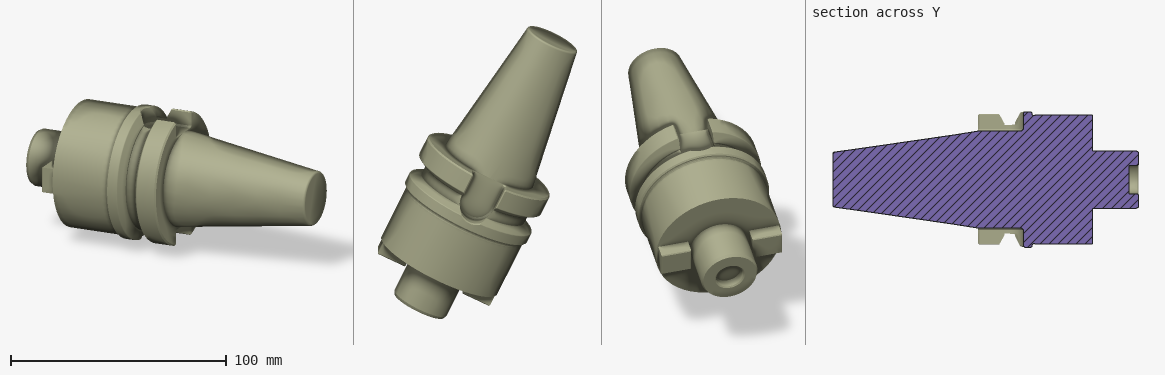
import cadquery as cq
import math

LENGTH = 141.9
BODY_START = 21.4
BODY_END = 48.0
COLLAR_START = 49.4
GROOVE_START = 54.8
GROOVE_FLOOR_START = 57.3
GROOVE_FLOOR_END = 62.2
FLANGE_END = 74.5
GAUGE_GAP = 2.0
GAUGE_PLANE = FLANGE_END + GAUGE_GAP

PILOT_RADIUS = 27.0 / 2
BODY_RADIUS = 60.0 / 2
NECK_RADIUS = 59.7 / 2
FLANGE_RADIUS = 63.0 / 2
GAUGE_RADIUS = 44.5 / 2

GROOVE_RADIUS = 52.8 / 2
GROOVE_FLANK = GROOVE_FLOOR_START - GROOVE_START
GROOVE_END = GROOVE_FLOOR_END + GROOVE_FLANK
GROOVE_FLANK_RADIUS = FLANGE_RADIUS - GROOVE_FLANK / math.tan(math.radians(30))

TAPER_SLOPE = 7 / 24 / 2
TAPER_START_RADIUS = GAUGE_RADIUS + GAUGE_GAP * TAPER_SLOPE
TAPER_END_RADIUS = GAUGE_RADIUS - (LENGTH - GAUGE_PLANE) * TAPER_SLOPE

PILOT_CHAMFER = 1.4
PILOT_CHAMFER_HEIGHT = 0.7
NECK_BEVEL = 0.4
NECK_ROOT_BEVEL = 0.4
COLLAR_CHAMFER = 0.5
FLANGE_CHAMFER = 0.7
GROOVE_LIP_FILLET = 0.7
TAPER_TIP_FILLET = 1.0

HOLE_RADIUS = 13.0 / 2
HOLE_DEPTH = 4.5
HOLE_CHAMFER = 0.5

KEY_LENGTH = 6.2
KEY_WIDTH = 12.0
KEY_INNER = 14.6
KEY_OUTER = 28.8
KEY_CHAMFER = 0.4

SLOT_WIDTH = 16.2
SLOT_FLOOR = 22.5
SLOT_CENTER = 61.6
SLOT_FLOOR_CHAMFER = 0.9
SLOT_RIM_CHAMFER = 0.5

TOLERANCE = 0.01


def revolved(outline):
    """Solid swept by turning an (x, radius) outline around the X axis."""
    return cq.Workplane("XY").polyline(outline).close().revolve(360, (0, 0, 0), (1, 0, 0))


def circle_at(x):
    """Selector for the circular edges that lie at station x."""
    reach = 2 * FLANGE_RADIUS
    return cq.selectors.BoxSelector(
        (x - TOLERANCE, -reach, -reach),
        (x + TOLERANCE, reach, reach),
        boundingbox=True,
    )


def turned_blank():
    """Body of revolution about X: pilot, body, grooved flange and taper."""
    outline = [
        (0, 0),
        (0, PILOT_RADIUS - PILOT_CHAMFER_HEIGHT),
        (PILOT_CHAMFER, PILOT_RADIUS),
        (BODY_START, PILOT_RADIUS),
        (BODY_START, BODY_RADIUS),
        (BODY_END, BODY_RADIUS),
        (BODY_END + NECK_BEVEL, NECK_RADIUS),
        (COLLAR_START - NECK_ROOT_BEVEL, NECK_RADIUS),
        (COLLAR_START, NECK_RADIUS + NECK_ROOT_BEVEL),
        (COLLAR_START, FLANGE_RADIUS - COLLAR_CHAMFER),
        (COLLAR_START + COLLAR_CHAMFER, FLANGE_RADIUS),
        (GROOVE_START, FLANGE_RADIUS),
        (GROOVE_FLOOR_START, GROOVE_FLANK_RADIUS),
        (GROOVE_FLOOR_START, GROOVE_RADIUS),
        (GROOVE_FLOOR_END, GROOVE_RADIUS),
        (GROOVE_FLOOR_END, GROOVE_FLANK_RADIUS),
        (GROOVE_END, FLANGE_RADIUS),
        (FLANGE_END - FLANGE_CHAMFER, FLANGE_RADIUS),
        (FLANGE_END, FLANGE_RADIUS - FLANGE_CHAMFER),
        (FLANGE_END, TAPER_START_RADIUS),
        (LENGTH, TAPER_END_RADIUS),
        (LENGTH, 0),
    ]
    blank = revolved(outline)
    for lip in (GROOVE_START, GROOVE_END):
        blank = blank.edges(circle_at(lip)).fillet(GROOVE_LIP_FILLET)
    return blank.faces(">X").edges().fillet(TAPER_TIP_FILLET)


def pilot_hole():
    """Blind hole with a chamfered mouth, opening on the pilot tip."""
    outline = [
        (0, 0),
        (0, HOLE_RADIUS + HOLE_CHAMFER),
        (HOLE_CHAMFER, HOLE_RADIUS),
        (HOLE_DEPTH, HOLE_RADIUS),
        (HOLE_DEPTH, 0),
    ]
    return revolved(outline)


def drive_key():
    """Rectangular key on the +Y side, chamfered around its front face."""
    return (
        cq.Workplane("XY")
        .box(KEY_LENGTH, KEY_OUTER - KEY_INNER, KEY_WIDTH)
        .translate((BODY_START - KEY_LENGTH / 2, (KEY_INNER + KEY_OUTER) / 2, 0))
        .faces("<X")
        .edges()
        .chamfer(KEY_CHAMFER)
    )


def drive_slot():
    """Round-ended slot on the +Z side, flared where it opens toward the taper."""
    half = SLOT_WIDTH / 2
    flared = half + FLANGE_CHAMFER
    return (
        cq.Workplane("XY")
        .workplane(offset=SLOT_FLOOR)
        .moveTo(FLANGE_END, flared)
        .lineTo(FLANGE_END - FLANGE_CHAMFER, half)
        .lineTo(SLOT_CENTER, half)
        .threePointArc((SLOT_CENTER - half, 0), (SLOT_CENTER, -half))
        .lineTo(FLANGE_END - FLANGE_CHAMFER, -half)
        .lineTo(FLANGE_END, -flared)
        .close()
        .extrude(FLANGE_RADIUS)
        .faces("<Z")
        .edges("not >X")
        .chamfer(SLOT_FLOOR_CHAMFER)
    )


def slot_removal():
    """Material one drive slot takes from the flange, including its chamfered rim.

    The rim is chamfered on a plain cylinder, where it is one unbroken edge without the V-groove.
    """
    cylinder = (
        cq.Workplane("YZ")
        .workplane(offset=COLLAR_START)
        .circle(FLANGE_RADIUS)
        .extrude(FLANGE_END - COLLAR_START)
    )
    widest = SLOT_WIDTH / 2 + FLANGE_CHAMFER
    lowest_rim = math.sqrt(FLANGE_RADIUS**2 - widest**2)
    rim = cq.selectors.BoxSelector(
        (COLLAR_START + TOLERANCE, -widest, lowest_rim - TOLERANCE),
        (FLANGE_END - TOLERANCE, widest, FLANGE_RADIUS + TOLERANCE),
    )
    slotted = cylinder.cut(drive_slot()).edges(rim).chamfer(SLOT_RIM_CHAMFER)
    return cylinder.cut(slotted)


result = turned_blank().cut(pilot_hole())
for turn in (0, 180):
    result = result.union(drive_key().rotate((0, 0, 0), (1, 0, 0), turn))
    result = result.cut(slot_removal().rotate((0, 0, 0), (1, 0, 0), turn))